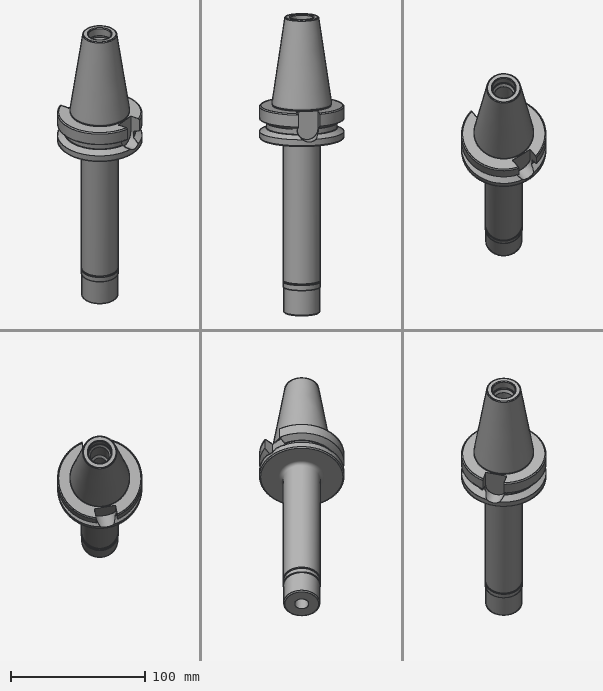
import cadquery as cq

total_length = 225.5
flange_radius = 31.5

taper_per_length = 7 / 24
taper_length = 65.4
gauge_radius = 22.3
taper_end_radius = gauge_radius - taper_length * taper_per_length / 2
taper_end_chamfer = 0.7
gauge_land = 1.0
neck_radius = 21.9
neck_chamfer_height = 0.5

flange_top_depth = 67.5
flange_bottom_depth = 92.5
flange_chamfer = 1.0
groove_top_depth = 77.3
groove_bottom_depth = 87.0
groove_radius = 26.4
groove_wall_height = 2.7
groove_fillet = 0.5

stem_radius = 14.0
stem_fillet = 3.0
ring_groove_depth = 200.5
ring_groove_width = 1.4
ring_groove_radius = 13.5
tip_shoulder_depth = 205.5
tip_shoulder_chamfer = 0.5
tip_radius = 13.5
tip_chamfer = 1.0

mouth_radius = 9.2
pilot_radius = 8.5
pilot_depth = 6.5
relief_radius = 8.3
relief_end_depth = 8.0
thread_radius = 7.0
thread_start_depth = 10.1
thread_end_depth = 30.0
through_radius = 5.2
through_start_depth = thread_end_depth + (thread_radius - through_radius)

slot_width = 16.0
slot_floor_distance = 22.5
slot_depth = 88.8


def height(depth):
    """Z of a level given as a depth below the top face."""
    return total_length - depth


def revolve_outline(outline):
    """Turn a closed (radius, depth) outline about the Z axis."""
    points = [(radius, height(depth)) for radius, depth in outline]
    return cq.Workplane("XZ").polyline(points).close().revolve(360, (0, 0), (0, 1))


def make_shank():
    """Tapered shank with the short relieved neck above the flange."""
    gauge_land_end = taper_length + gauge_land
    chamfer_radius = taper_end_radius - taper_end_chamfer
    return revolve_outline([
        (0, 0),
        (chamfer_radius, 0),
        (taper_end_radius, taper_end_chamfer),
        (gauge_radius, taper_length),
        (gauge_radius, gauge_land_end),
        (neck_radius, gauge_land_end + neck_chamfer_height),
        (neck_radius, flange_top_depth),
        (0, flange_top_depth),
    ])


def make_flange():
    """Chamfered flange with the V groove around its rim."""
    rim_radius = flange_radius - flange_chamfer
    flange = revolve_outline([
        (0, flange_top_depth),
        (rim_radius, flange_top_depth),
        (flange_radius, flange_top_depth + flange_chamfer),
        (flange_radius, groove_top_depth),
        (groove_radius, groove_top_depth + groove_wall_height),
        (groove_radius, groove_bottom_depth - groove_wall_height),
        (flange_radius, groove_bottom_depth),
        (flange_radius, flange_bottom_depth - flange_chamfer),
        (rim_radius, flange_bottom_depth),
        (0, flange_bottom_depth),
    ])
    groove_corners = cq.selectors.RadiusNthSelector(0)
    return flange.edges(groove_corners).fillet(groove_fillet)


def make_stem():
    """Long cylinder with a fine ring groove and a slightly thinner tip."""
    ring_groove_middle = ring_groove_depth + ring_groove_width / 2
    ring_groove_end = ring_groove_depth + ring_groove_width
    return revolve_outline([
        (0, flange_bottom_depth),
        (stem_radius, flange_bottom_depth),
        (stem_radius, ring_groove_depth),
        (ring_groove_radius, ring_groove_middle),
        (stem_radius, ring_groove_end),
        (stem_radius, tip_shoulder_depth),
        (tip_radius, tip_shoulder_depth + tip_shoulder_chamfer),
        (tip_radius, total_length - tip_chamfer),
        (tip_radius - tip_chamfer, total_length),
        (0, total_length),
    ])


def make_stem_fillet():
    """Concave ring blending the stem into the underside of the flange."""
    base = height(flange_bottom_depth)
    outer_radius = stem_radius + stem_fillet
    ring = (
        cq.Workplane("XZ")
        .moveTo(stem_radius, base)
        .lineTo(outer_radius, base)
        .radiusArc((stem_radius, base - stem_fillet), -stem_fillet)
        .close()
    )
    return ring.revolve(360, (0, 0), (0, 1))


def make_bore():
    """Stepped bore: pilot, relief, thread hole, then a smaller hole right through."""
    return revolve_outline([
        (0, 0),
        (mouth_radius, 0),
        (pilot_radius, mouth_radius - pilot_radius),
        (pilot_radius, pilot_depth),
        (relief_radius, pilot_depth),
        (relief_radius, relief_end_depth),
        (thread_radius, thread_start_depth),
        (thread_radius, thread_end_depth),
        (through_radius, through_start_depth),
        (through_radius, total_length),
        (0, total_length),
    ])


def make_drive_slot(side):
    """Round-bottomed slot, open upwards, on the +X (side=1) or -X (side=-1) side."""
    slot_radius = slot_width / 2
    arc_center = height(slot_depth - slot_radius)
    top = height(flange_top_depth)
    profile = (
        cq.Workplane("YZ", origin=(side * slot_floor_distance, 0, 0))
        .moveTo(-slot_radius, top)
        .lineTo(-slot_radius, arc_center)
        .threePointArc((0, height(slot_depth)), (slot_radius, arc_center))
        .lineTo(slot_radius, top)
        .close()
    )
    return profile.extrude(side * flange_radius)


body = make_shank().union(make_flange()).union(make_stem()).union(make_stem_fillet())
body = body.cut(make_bore())
for side in (-1, 1):
    body = body.cut(make_drive_slot(side))

result = body